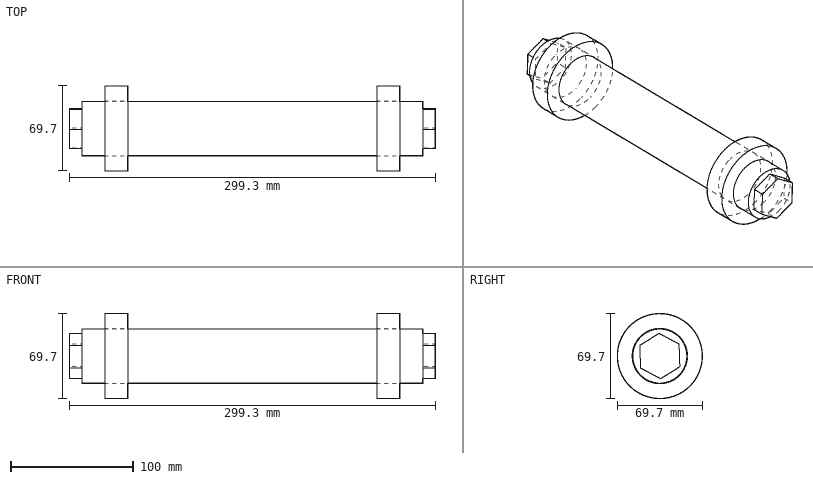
import cadquery as cq

overall_length = 299.3
hex_length = 10.2
hex_across_corners = 37.0
hex_tilt = 2.0
axle_diameter = 44.5

roller_diameter = 69.7
roller_bore = 45.0
roller_width = 19.0
roller_end_offset = 19.0

axle_length = overall_length - 2 * hex_length
roller_center = axle_length / 2 - roller_end_offset - roller_width / 2


def section_plane(x):
    """Cross-section plane at the given X, facing +X."""
    return cq.Workplane("YZ", origin=(x, 0, 0))


def make_axle():
    """Round axle with a hexagonal drive end on each side, as one solid."""
    hex_bar = (
        section_plane(-overall_length / 2)
        .polygon(6, hex_across_corners)
        .extrude(overall_length)
        .rotate((0, 0, 0), (1, 0, 0), 90 + hex_tilt)
    )
    round_body = section_plane(-axle_length / 2).circle(axle_diameter / 2).extrude(axle_length)
    return round_body.union(hex_bar)


def make_roller(center_x):
    """Plain ring running on the axle with a small clearance."""
    return (
        section_plane(center_x - roller_width / 2)
        .circle(roller_diameter / 2)
        .circle(roller_bore / 2)
        .extrude(roller_width)
    )


axle = make_axle().solids()
rollers = [make_roller(side * roller_center).solids() for side in (-1, 1)]

result = cq.Compound.makeCompound([axle.val(), *[roller.val() for roller in rollers]])